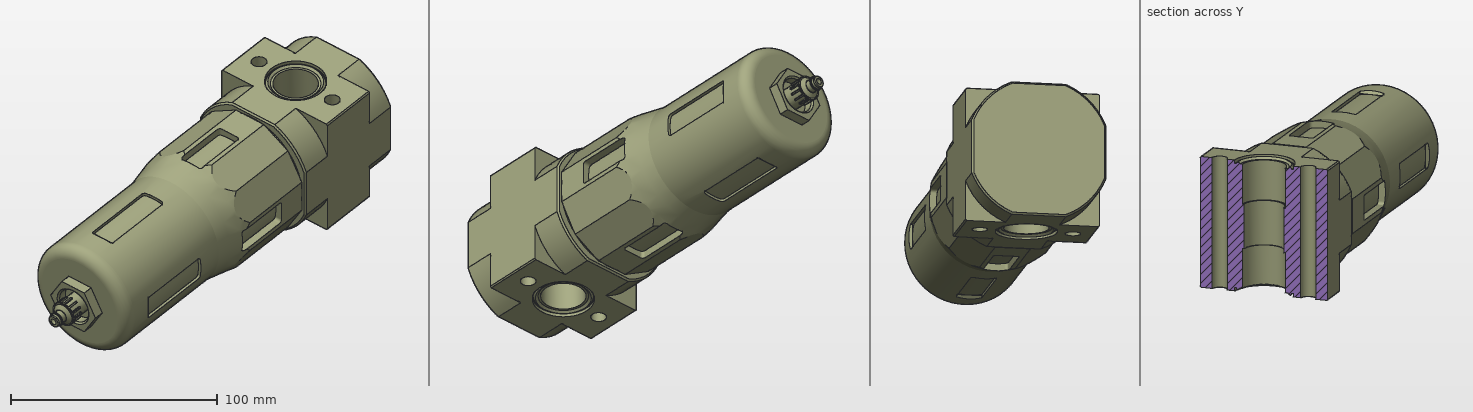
import cadquery as cq
import math


HEAD_SIZE = 66.0
HEAD_HALF = HEAD_SIZE / 2
FLAT_HALF_WIDTH = 13.3
BARREL_RADIUS = math.hypot(HEAD_HALF, FLAT_HALF_WIDTH)
BAND_WIDTH = 32.3
END_CHAMFER = 0.9
CORNER_CHAMFER = 0.7

PORT_BORE_DIA = 20.3
PORT_SOCKET_DIA = 22.0
PORT_SOCKET_DEPTH = 21.8
PORT_CREST_DEPTH = 0.7
PORT_MOUTH_DEPTH = 1.7
PORT_STEP_DIA = 24.5
PORT_CREST_DIA = 27.0
GROOVE_FOOT_DIA = 29.2
GROOVE_OUTER_DIA = 30.0

MOUNT_HOLE_DIA = 7.6
MOUNT_HOLE_X = 22.9

NECK_RADIUS = 62.0 / 2
NECK_GAP = 2.0
SLEEVE_SIDES = 12
SLEEVE_ACROSS_FLATS = 65.0
SLEEVE_CORNER_RADIUS = SLEEVE_ACROSS_FLATS / 2 / math.cos(math.pi / SLEEVE_SIDES)
SLEEVE_TOP_Y = -HEAD_HALF - NECK_GAP
TAPER_TOP_Y = -74.5

BOWL_RADIUS = 58.9 / 2
BOWL_TOP_Y = -94.6
BOWL_END_Y = -164.8
BOWL_FILLET = 5.9

WINDOW_COUNT = 4
WINDOW_WIDTH = 12.6
SLEEVE_FLOOR_RADIUS = 29.0
BOWL_FLOOR_RADIUS = 28.0
WINDOW_CORNER = 1.5
SLEEVE_WINDOW_TOP_Y = -50.5
SLEEVE_WINDOW_END_Y = -80.2
BOWL_WINDOW_TOP_Y = -108.3
BOWL_WINDOW_END_Y = -148.5

HEX_ACROSS_FLATS = 24.2
HEX_HEIGHT = 5.2
SOCKET_DIA = 18.0
SOCKET_CHAMFER = 0.9

DRAIN_CORE_DIA = 11.1
DRAIN_END_Y = HEAD_HALF - 218
KNURL_DIA = 12.6
KNURL_TOP_Y = -171.1
KNURL_END_Y = -177.7
KNURL_RIBS = 12
KNURL_RIB_WIDTH = 0.9
KNURL_FLANGE_HEIGHT = 0.7
SHOULDER_DIA = 6.8
SHOULDER_HEIGHT = 1.5
SPOUT_DIA = 6.3
SPOUT_TIP_DIA = 5.7
SPOUT_TIP_HEIGHT = 0.7
SPOUT_BORE_DIA = 3.0
SPOUT_BORE_DEPTH = 3.3
BARB_DIA = 7.2
BARB_TOP_Y = -182.2
BARB_END_Y = -183.0


def cylinder_y(diameter, y_from, y_to):
    """Solid cylinder on the Y axis between two Y positions."""
    plane = cq.Workplane("XZ", origin=(0, y_from, 0))
    return plane.circle(diameter / 2).extrude(y_from - y_to)


def revolve_y(profile):
    """Turn a closed (radius, y) sketch about the Y axis."""
    return profile.close().revolve(360, (0, 0, 0), (0, 1, 0))


def head():
    """Cube with rounded ends and a full-square band around the ports."""
    barrel = cylinder_y(2 * BARREL_RADIUS, HEAD_HALF, -HEAD_HALF)
    barrel = barrel.faces("<Y or >Y").chamfer(END_CHAMFER)
    square = cq.Workplane("XY").box(HEAD_SIZE, HEAD_SIZE, HEAD_SIZE).faces("<Y or >Y").chamfer(END_CHAMFER)
    band = cq.Workplane("XY").box(HEAD_SIZE, BAND_WIDTH, HEAD_SIZE).edges("|Y").chamfer(CORNER_CHAMFER)
    return barrel.intersect(square).union(band)


def port_cutter():
    """Bore, socket, mouth and ring groove of the +Z port, from the middle of the head outward."""
    mouth_z = HEAD_HALF - PORT_MOUTH_DEPTH
    crest_z = HEAD_HALF - PORT_CREST_DEPTH
    socket_z = HEAD_HALF - PORT_SOCKET_DEPTH
    return (
        cq.Workplane("XZ")
        .lineTo(PORT_BORE_DIA / 2, 0)
        .lineTo(PORT_BORE_DIA / 2, socket_z)
        .lineTo(PORT_SOCKET_DIA / 2, socket_z)
        .lineTo(PORT_SOCKET_DIA / 2, mouth_z)
        .lineTo(PORT_STEP_DIA / 2, mouth_z)
        .lineTo(PORT_CREST_DIA / 2, crest_z)
        .lineTo(GROOVE_FOOT_DIA / 2, mouth_z)
        .lineTo(GROOVE_OUTER_DIA / 2, mouth_z)
        .lineTo(GROOVE_OUTER_DIA / 2, HEAD_HALF)
        .lineTo(0, HEAD_HALF)
        .close()
        .revolve(360, (0, 0, 0), (0, 1, 0))
    )


def cut_ports(body):
    cutter = port_cutter()
    return body.cut(cutter).cut(cutter.mirror("XY"))


def cut_mounting_holes(body):
    holes = (
        cq.Workplane("XY", origin=(0, 0, -HEAD_HALF))
        .pushPoints([(-MOUNT_HOLE_X, 0), (MOUNT_HOLE_X, 0)])
        .circle(MOUNT_HOLE_DIA / 2)
        .extrude(HEAD_SIZE)
    )
    return body.cut(holes)


def bowl():
    """Twelve-sided sleeve that tapers into the round, filleted bowl."""
    turned = revolve_y(
        cq.Workplane("XY")
        .moveTo(0, SLEEVE_TOP_Y)
        .lineTo(SLEEVE_CORNER_RADIUS, SLEEVE_TOP_Y)
        .lineTo(SLEEVE_CORNER_RADIUS, TAPER_TOP_Y)
        .lineTo(BOWL_RADIUS, BOWL_TOP_Y)
        .lineTo(BOWL_RADIUS, BOWL_END_Y)
        .lineTo(0, BOWL_END_Y)
    )
    turned = turned.faces("<Y").edges().fillet(BOWL_FILLET)
    prism = (
        cq.Workplane("XZ", origin=(0, SLEEVE_TOP_Y, 0))
        .transformed(rotate=(0, 0, 180 / SLEEVE_SIDES))
        .polygon(SLEEVE_SIDES, 2 * SLEEVE_CORNER_RADIUS)
        .extrude(SLEEVE_TOP_Y - BOWL_END_Y)
    )
    return turned.intersect(prism)


def window_cutter(y_top, y_end, floor_radius):
    """Rounded window on the +Z side whose floor is a cylinder about the Y axis."""
    length = y_top - y_end
    opening = (
        cq.Workplane("XY", origin=(0, y_top - length / 2, 0))
        .rect(WINDOW_WIDTH, length)
        .extrude(HEAD_HALF)
        .edges("|Z")
        .fillet(WINDOW_CORNER)
    )
    return opening.cut(cylinder_y(2 * floor_radius, y_top, y_end))


def sleeve_window_cutter():
    return window_cutter(SLEEVE_WINDOW_TOP_Y, SLEEVE_WINDOW_END_Y, SLEEVE_FLOOR_RADIUS)


def bowl_window_cutter():
    """Bowl window with its lower end wall sloped from the outer surface to the floor."""
    slope = BOWL_RADIUS - BOWL_FLOOR_RADIUS
    wedge = (
        cq.Workplane("YZ", origin=(-WINDOW_WIDTH / 2, 0, 0))
        .moveTo(BOWL_WINDOW_END_Y, 0)
        .lineTo(BOWL_WINDOW_END_Y + slope, 0)
        .lineTo(BOWL_WINDOW_END_Y + slope, BOWL_FLOOR_RADIUS)
        .lineTo(BOWL_WINDOW_END_Y, BOWL_RADIUS)
        .close()
        .extrude(WINDOW_WIDTH)
    )
    window = window_cutter(BOWL_WINDOW_TOP_Y, BOWL_WINDOW_END_Y, BOWL_FLOOR_RADIUS)
    return window.cut(wedge)


def cut_windows(body):
    cutters = [sleeve_window_cutter(), bowl_window_cutter()]
    for i in range(WINDOW_COUNT):
        for cutter in cutters:
            body = body.cut(cutter.rotate((0, 0, 0), (0, 1, 0), i * 360 / WINDOW_COUNT))
    return body


def drain_hexagon():
    """Hexagon below the bowl with a chamfered round socket for the drain."""
    across_corners = HEX_ACROSS_FLATS / math.cos(math.pi / 6)
    return (
        cq.Workplane("XZ", origin=(0, BOWL_END_Y, 0))
        .polygon(6, across_corners)
        .circle(SOCKET_DIA / 2)
        .extrude(HEX_HEIGHT)
        .faces("<Y")
        .edges("%CIRCLE")
        .chamfer(SOCKET_CHAMFER)
    )


def make_housing():
    neck = cylinder_y(2 * NECK_RADIUS, -HEAD_HALF, SLEEVE_TOP_Y)
    upper = cut_mounting_holes(cut_ports(head()))
    lower = cut_windows(bowl())
    return upper.union(neck).union(lower).union(drain_hexagon())


def knurl():
    """Axial grip ribs around the drain core, closed by a thin flange at their lower end."""
    flange_y = KNURL_END_Y + KNURL_FLANGE_HEIGHT
    length = KNURL_TOP_Y - flange_y
    bar = cq.Workplane("XY").box(KNURL_RIB_WIDTH, length, 2 * KNURL_DIA).translate((0, flange_y + length / 2, 0))
    star = cylinder_y(DRAIN_CORE_DIA, KNURL_TOP_Y, flange_y)
    for i in range(KNURL_RIBS // 2):
        star = star.union(bar.rotate((0, 0, 0), (0, 1, 0), i * 360 / KNURL_RIBS))
    ribs = star.intersect(cylinder_y(KNURL_DIA, KNURL_TOP_Y, flange_y))
    return ribs.union(cylinder_y(KNURL_DIA, flange_y, KNURL_END_Y))


def make_drain():
    """Drain with a ribbed grip and a barbed spout, seated on the floor of the hexagon socket."""
    shaft = revolve_y(
        cq.Workplane("XY")
        .moveTo(0, BOWL_END_Y)
        .lineTo(DRAIN_CORE_DIA / 2, BOWL_END_Y)
        .lineTo(DRAIN_CORE_DIA / 2, KNURL_END_Y)
        .lineTo(SHOULDER_DIA / 2, KNURL_END_Y - SHOULDER_HEIGHT)
        .lineTo(SPOUT_DIA / 2, KNURL_END_Y - SHOULDER_HEIGHT)
        .lineTo(SPOUT_DIA / 2, DRAIN_END_Y + SPOUT_TIP_HEIGHT)
        .lineTo(SPOUT_TIP_DIA / 2, DRAIN_END_Y)
        .lineTo(0, DRAIN_END_Y)
    )
    barb = cylinder_y(BARB_DIA, BARB_TOP_Y, BARB_END_Y)
    bore = cylinder_y(SPOUT_BORE_DIA, DRAIN_END_Y + SPOUT_BORE_DEPTH, DRAIN_END_Y)
    return shaft.union(knurl()).union(barb).cut(bore)


housing = make_housing()
drain = make_drain()

result = cq.Compound.makeCompound([housing.val(), drain.val()])